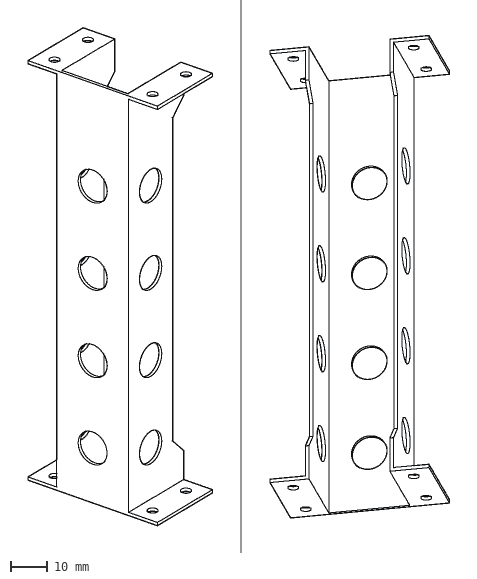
import cadquery as cq

height = 130.0
flange_span = 45.0
depth = 25.0

channel_width = 25.0
sheet = 1.0

edge_setback = 5.0
end_tab_height = 10.0

large_hole_diameter = 10.0
large_hole_count = 4
large_hole_spacing = 27.0
lowest_hole_height = 17.0
side_hole_depth = 10.0

screw_hole_diameter = 3.0
screw_hole_offset_x = 17.0
screw_hole_inset_y = 5.0

large_hole_heights = [lowest_hole_height + i * large_hole_spacing for i in range(large_hole_count)]


def box(x_size, y_size, z_size, base_z=0):
    """Box centred in X, with its front face at Y = 0."""
    return (
        cq.Workplane("XY", origin=(0, 0, base_z))
        .box(x_size, y_size, z_size, centered=(True, False, False))
    )


def edge_relief():
    """Cutter that sets the side walls' back edges forward, with 45 degree ends."""
    lower = end_tab_height
    upper = height - end_tab_height
    return (
        cq.Workplane("YZ")
        .moveTo(depth, lower)
        .lineTo(depth - edge_setback, lower + edge_setback)
        .lineTo(depth - edge_setback, upper - edge_setback)
        .lineTo(depth, upper)
        .close()
        .extrude(channel_width / 2, both=True)
    )


def front_holes():
    return (
        cq.Workplane("XZ")
        .pushPoints([(0, z) for z in large_hole_heights])
        .circle(large_hole_diameter / 2)
        .extrude(-sheet)
    )


def side_holes():
    return (
        cq.Workplane("YZ")
        .pushPoints([(side_hole_depth, z) for z in large_hole_heights])
        .circle(large_hole_diameter / 2)
        .extrude(channel_width / 2, both=True)
    )


def screw_holes():
    centers = [
        (x, y)
        for x in (-screw_hole_offset_x, screw_hole_offset_x)
        for y in (screw_hole_inset_y, depth - screw_hole_inset_y)
    ]
    return cq.Workplane("XY").pushPoints(centers).circle(screw_hole_diameter / 2).extrude(height)


body = box(channel_width, depth, height).cut(edge_relief())
for flange_base in (0, height - sheet):
    body = body.union(box(flange_span, depth, sheet, flange_base))

cavity = box(channel_width - 2 * sheet, depth, height).translate((0, sheet, 0))
body = body.cut(cavity)

result = body.cut(front_holes()).cut(side_holes()).cut(screw_holes())